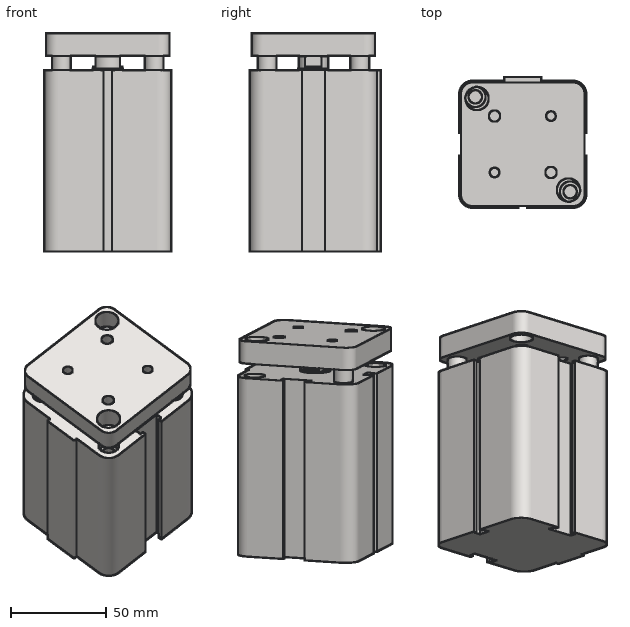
import cadquery as cq

total_height = 115.0
plate_thickness = 12.0
lift_gap = 7.6
body_height = total_height - plate_thickness - lift_gap
plate_bottom = body_height + lift_gap

body_width = 67.0
body_corner_radius = 7.5
pad_width = 19.7
pad_projection = 2.0
pad_edge_radius = 0.5
slot_lip = 2.0
side_slot_opening = 12.0
side_slot_floor = 15.6
side_slot_depth = 5.3
front_slot_opening = 4.5
front_slot_floor = 6.4
front_slot_depth = 5.4

screw_offset = 25.0
screw_head_diameter = 10.8
screw_head_depth = 6.5
screw_hole_diameter = 7.0
screw_hole_bottom_depth = 14.7

plate_width = 65.0
plate_corner_radius = 5.8
access_hole_offset = 24.0
access_hole_diameter = 12.2
small_hole_offset = 14.8
dowel_hole_diameter = 6.0
tapped_hole_diameter = 5.1

guide_offset = 24.4
guide_diameter = 10.0
piston_diameter = 15.6
collar_diameter = 16.0
collar_height = 0.8
flat_spacing = 13.0
flat_bottom = 1.8
piston_chamfer = 0.5

body_front_y = -body_width / 2
body_back_y = body_width / 2


def box(x_size, y_size, z_size, center_x, center_y, bottom):
    """A box standing on the given height."""
    return (
        cq.Workplane("XY", origin=(center_x, center_y, bottom))
        .rect(x_size, y_size)
        .extrude(z_size)
    )


def rounded_block(width, radius, height, bottom):
    """A square block with rounded upright edges."""
    return box(width, width, height, 0, 0, bottom).edges("|Z").fillet(radius)


def cylinders(points, diameter, bottom, height):
    """Equal upright cylinders at the given points."""
    return (
        cq.Workplane("XY", origin=(0, 0, bottom))
        .pushPoints(points)
        .circle(diameter / 2)
        .extrude(height)
    )


def falling_pair(offset):
    """Two points on the diagonal from rear left to front right."""
    return [(-offset, offset), (offset, -offset)]


def rising_pair(offset):
    """Two points on the diagonal from front left to rear right."""
    return [(-offset, -offset), (offset, offset)]


def side_slot(side):
    """T-slot along the full height of the left (-1) or right (1) face."""
    face_x = side * body_width / 2
    lip = box(2 * side_slot_depth, side_slot_opening, body_height, face_x, 0, 0)
    floor_depth = side_slot_depth - slot_lip
    floor_x = face_x - side * (slot_lip + floor_depth / 2)
    return lip.union(box(floor_depth, side_slot_floor, body_height, floor_x, 0, 0))


def front_slot():
    """Narrow T-slot along the full height of the front face."""
    lip = box(front_slot_opening, 2 * front_slot_depth, body_height, 0, body_front_y, 0)
    floor_depth = front_slot_depth - slot_lip
    floor_y = body_front_y + slot_lip + floor_depth / 2
    return lip.union(box(front_slot_floor, floor_depth, body_height, 0, floor_y, 0))


def make_housing():
    """Cylinder block with a rear pad, three T-slots and two counterbored blind holes."""
    body = rounded_block(body_width, body_corner_radius, body_height, 0)
    pad = (
        box(pad_width, 2 * pad_projection, body_height, 0, body_back_y, 0)
        .edges("|Z and >Y")
        .fillet(pad_edge_radius)
    )
    body = body.union(pad).cut(front_slot())
    for side in (-1, 1):
        body = body.cut(side_slot(side))
    holes = falling_pair(screw_offset)
    body = body.cut(
        cylinders(
            holes,
            screw_hole_diameter,
            body_height - screw_hole_bottom_depth,
            screw_hole_bottom_depth,
        )
    )
    return body.cut(
        cylinders(holes, screw_head_diameter, body_height - screw_head_depth, screw_head_depth)
    )


def make_piston():
    """Piston rod with two wrench flats above a round foot and a thin collar."""
    axis = [(0, 0)]
    rod = cylinders(axis, piston_diameter, body_height, lift_gap)
    rod = rod.edges(">Z").chamfer(piston_chamfer)
    flat_zone = box(
        flat_spacing, piston_diameter, lift_gap - flat_bottom, 0, 0, body_height + flat_bottom
    )
    foot = cylinders(axis, piston_diameter, body_height, flat_bottom)
    collar = cylinders(axis, collar_diameter, body_height, collar_height)
    return rod.intersect(flat_zone.union(foot)).union(foot).union(collar)


def make_slide():
    """Moving end plate together with its guide rods and piston rod."""
    plate = rounded_block(plate_width, plate_corner_radius, plate_thickness, plate_bottom)
    plate_holes = [
        (falling_pair(access_hole_offset), access_hole_diameter),
        (falling_pair(small_hole_offset), dowel_hole_diameter),
        (rising_pair(small_hole_offset), tapped_hole_diameter),
    ]
    for points, diameter in plate_holes:
        plate = plate.cut(cylinders(points, diameter, plate_bottom, plate_thickness))
    guides = cylinders(rising_pair(guide_offset), guide_diameter, body_height, lift_gap)
    return plate.union(guides).union(make_piston())


housing = make_housing()
slide = make_slide()
result = cq.Compound.makeCompound([housing.val(), slide.val()])